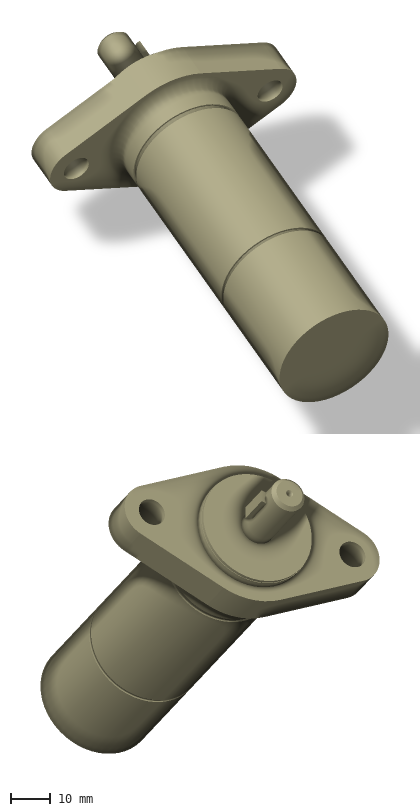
import cadquery as cq
import math

LENGTH = 118.7
X_TIP = -LENGTH / 2
X_PILOT = X_TIP + 19.7
X_FLANGE = X_TIP + 23.0
FLANGE_THICKNESS = 10.0
X_BODY = X_FLANGE + FLANGE_THICKNESS
X_END = X_TIP + LENGTH

SHAFT_DIAMETER = 9.0
SHAFT_CHAMFER = 1.0
CENTER_DIAMETER = 1.9
PILOT_DIAMETER = 30.0
PILOT_LEAD_DIAMETER = 29.8
PILOT_LEAD_LENGTH = 1.0
BODY_DIAMETER = 31.0
BODY_FILLET = 2.5
GROOVE_DIAMETER = 30.0
GROOVES = [(40.8, 1.4), (87.6, 1.1)]

FLANGE_WIDTH = 70.0
FLANGE_HEIGHT = 37.9
HOLE_SPACING = 55.1
HOLE_DIAMETER = 7.1

KEY_WIDTH = 3.1
KEY_DISC_RADIUS = 5.1
KEY_TOP = 5.9
KEY_CENTER_ABOVE_TOP = 1.2
KEY_FROM_TIP = 8.9


def cylinder(x_start, x_stop, diameter):
    section = cq.Workplane("YZ", origin=(x_start, 0, 0)).circle(diameter / 2)
    return section.extrude(x_stop - x_start)


def make_flange():
    hub_radius = FLANGE_HEIGHT / 2
    hole_offset = HOLE_SPACING / 2
    lobe_radius = FLANGE_WIDTH / 2 - hole_offset
    tangent_y = (hub_radius - lobe_radius) / hole_offset
    tangent_z = math.sqrt(1 - tangent_y**2)
    hub_y = hub_radius * tangent_y
    hub_z = hub_radius * tangent_z
    lobe_y = hole_offset + lobe_radius * tangent_y
    lobe_z = lobe_radius * tangent_z
    plate = (
        cq.Workplane("YZ", origin=(X_FLANGE, 0, 0))
        .moveTo(-hub_y, hub_z)
        .threePointArc((0, hub_radius), (hub_y, hub_z))
        .lineTo(lobe_y, lobe_z)
        .threePointArc((FLANGE_WIDTH / 2, 0), (lobe_y, -lobe_z))
        .lineTo(hub_y, -hub_z)
        .threePointArc((0, -hub_radius), (-hub_y, -hub_z))
        .lineTo(-lobe_y, -lobe_z)
        .threePointArc((-FLANGE_WIDTH / 2, 0), (-lobe_y, lobe_z))
        .close()
        .extrude(FLANGE_THICKNESS)
    )
    holes = (
        cq.Workplane("YZ", origin=(X_FLANGE, 0, 0))
        .pushPoints([(-hole_offset, 0), (hole_offset, 0)])
        .circle(HOLE_DIAMETER / 2)
        .extrude(FLANGE_THICKNESS)
    )
    return plate.cut(holes)


def make_body():
    """Motor housing with a concave fillet flaring out to the flange."""
    radius = BODY_DIAMETER / 2
    arc_offset = BODY_FILLET * (1 - math.sqrt(0.5))
    body = (
        cq.Workplane("XY")
        .moveTo(X_BODY, 0)
        .lineTo(X_BODY, radius + BODY_FILLET)
        .threePointArc(
            (X_BODY + arc_offset, radius + arc_offset),
            (X_BODY + BODY_FILLET, radius),
        )
        .lineTo(X_END, radius)
        .lineTo(X_END, 0)
        .close()
        .revolve(360, (0, 0, 0), (1, 0, 0))
    )
    for distance, width in GROOVES:
        start = X_TIP + distance
        ring = cylinder(start, start + width, BODY_DIAMETER)
        body = body.cut(ring.cut(cylinder(start, start + width, GROOVE_DIAMETER)))
    return body


def make_shaft():
    shaft = cylinder(X_TIP, X_PILOT, SHAFT_DIAMETER).faces("<X").chamfer(SHAFT_CHAMFER)
    center_radius = CENTER_DIAMETER / 2
    center_mark = cq.Solid.makeCone(
        center_radius, 0, center_radius, cq.Vector(X_TIP, 0, 0), cq.Vector(1, 0, 0)
    )
    return shaft.cut(cq.Workplane(center_mark))


def make_key():
    """Disc segment standing on the +Y side of the shaft, cut flat at its top."""
    disc = (
        cq.Workplane("XY", origin=(X_TIP + KEY_FROM_TIP, KEY_TOP + KEY_CENTER_ABOVE_TOP, 0))
        .circle(KEY_DISC_RADIUS)
        .extrude(KEY_WIDTH / 2, both=True)
    )
    keep = (
        cq.Workplane("XY", origin=(X_TIP + KEY_FROM_TIP, KEY_TOP / 2, 0))
        .box(2 * KEY_DISC_RADIUS, KEY_TOP, KEY_WIDTH)
    )
    return disc.intersect(keep)


pilot_step = X_PILOT + PILOT_LEAD_LENGTH
pilot = cylinder(X_PILOT, pilot_step, PILOT_LEAD_DIAMETER).union(
    cylinder(pilot_step, X_FLANGE, PILOT_DIAMETER)
)
result = make_flange().union(make_body()).union(pilot).union(make_shaft()).union(make_key())